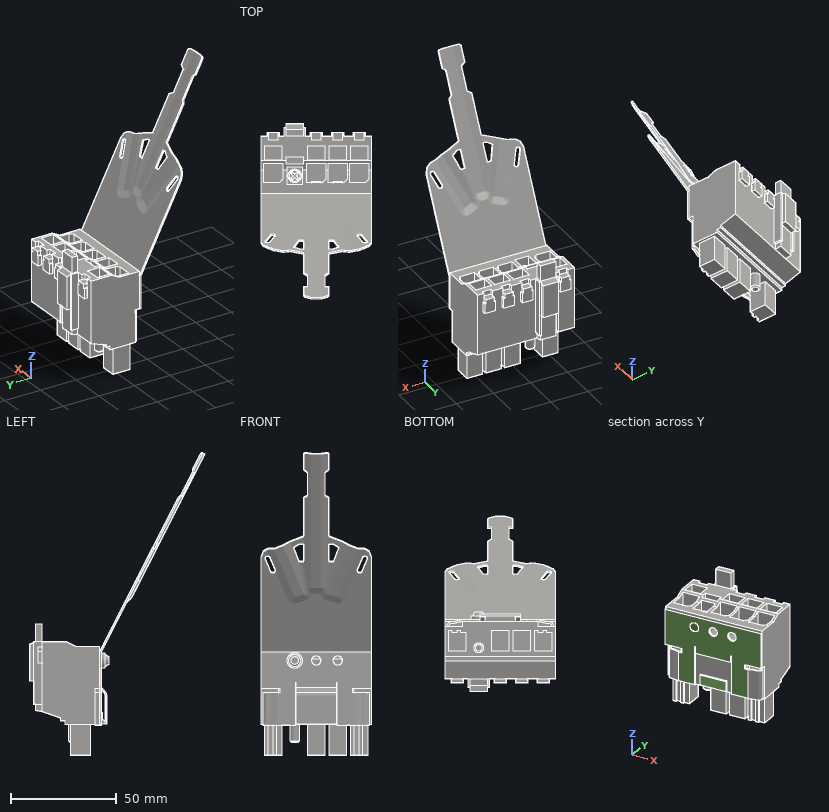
import cadquery as cq
import math


overall_height = 143.4
overall_depth = 83.0
width = 52.3
half_width = width / 2
pitch = 10.2
pole_positions = [-2 * pitch, 0, pitch, 2 * pitch]
shield_position = -pitch

housing_back = 27.2
housing_bottom = 14.5
rear_top = 53.8
front_top = 51.6
slope_back = 15.6
slope_front = 11.3
foot_depth = 16.5
foot_height = 16.3
undercut_depth = 18.6
undercut_height = 17.6
back_bottom = 20.7

release_window_width = 8.5
release_window_back = 22.7
release_window_front = 15.9
release_window_depth = 11.5
shield_release_back = 17.5
shield_release_front = 14.2
wire_window_width = 9.0
wire_window_back = 14.3
wire_window_front = 5.3
wire_window_chamfer = 1.6
wire_window_floor = 45.6
screw_window_width = 7.5
screw_window_back = 12.8
screw_window_front = 4.5

sleeve_width = 8.5
sleeve_back = 13.9
sleeve_front = 4.3
key_recess = 0.9
key_groove_start = 1.7
key_rib_start = 4.0
key_rib_end = 5.7
guide_pin_diameter = 4.6
guide_pin_y = 12.5
guide_pin_bottom = 6.2
guide_pin_chamfer = 0.7

tab_neck_width = 4.6
tab_head_width = 5.7
tab_front = 25.5
tab_back = 29.1
tab_bottom = 43.7
tab_head_top = 49.0
tab_top = 51.2

latch_width = 8.3
latch_back = 30.4
latch_top = 62.2
latch_bottom = 21.2
grip_bottom = 35.1
grip_edge_top = 52.6
guide_width = 10.2
guide_back = 31.3
guide_bottom = 24.1

sheet = 0.9
plate_bottom = 14.2
bend_height = 49.2
tilt = math.radians(27)
corner_bottom = 50.3
corner_top = 55.0
corner_x = 23.0
corner_middle = (25.1, 53.4)
shoulder_x = 19.4
shoulder_top = 55.6
wing_top = 61.4
tongue_half = 6.0
tongue_neck_half = 4.2
neck_bottom = 81.9
neck_top = 97.0
neck_slope = 1.5
tongue_corner = 0.7
bead_height = 1.1
bead_flank = 3.7
bead_corner = 4.0
side_bead_width = 12.0
side_bead_angle = 21
side_bead_foot = (-6.6, 27.0)
tongue_bead_foot = 31.0
valley = (5.3, 38.6)
valley_radius = 4.3
slot_centre = (-21.8, 46.5)
slot_length = 9.3
slot_width = 2.3
window_bottom = 48.0
window_bottom_x = 8.2
window_top = 57.4
window_top_x = 7.9
window_outer = (-10.8, 55.5)

spring_half_width = 9.9
spring_root = 31.8
spring_bend_top = 29.7
spring_bend_offset = 3.0
spring_knee = 28.3
spring_bottom = 14.8
spring_offset = 3.5
spring_drop = 0.3
slit_top = 34.5
slit_width = 0.3
wing_root = 17.9
wing_knee = 21.7
wing_curl_start = 23.0
wing_crease = (19.0, -0.7)
wing_curl_end = 25.2
wing_relief_top = 31.7
wing_relief_bottom = 29.7
wing_relief_root = 17.0
wing_pocket_depth = 2.3

catch_half_width = 7.2
catch_top = 20.4
catch_offset = 1.5
catch_knee = 17.0
catch_toe = 16.0

hole_diameter = 4.3
hole_height = 44.9
hole_depth = 5.7
shank_length = 3.6
flange_diameter = 7.3
flange_thickness = 1.7
head_base_diameter = 5.7
head_tip_diameter = 3.6
head_height = 1.9
terminal_screw_diameter = 6.3
terminal_screw_top = 48.0
terminal_screw_y = 8.5
terminal_screw_chamfer = 0.6
recess_length = 4.0
recess_width = 1.0
recess_depth = 0.9
recess_angles = (45, 135)

tip_lean = bead_height * tongue_corner / bead_flank
sheet_length = (overall_height - bend_height + tip_lean * math.sin(tilt)) / math.cos(tilt)
tongue_tip_y = -(sheet_length * math.sin(tilt) + (sheet + bead_height) * math.cos(tilt))
grip_back = tongue_tip_y + overall_depth


def block(x_range, y_range, z_range):
    """Box between two limits on each axis."""
    size = [high - low for low, high in (x_range, y_range, z_range)]
    return cq.Workplane("XY").box(*size, centered=False).translate((x_range[0], y_range[0], z_range[0]))


def centred_block(x, block_width, y_range, z_range):
    """Box that is symmetrical about the given x."""
    return block((x - block_width / 2, x + block_width / 2), y_range, z_range)


def prism_along_x(points, x_centre, length):
    """Outline of (y, z) points extruded along X, symmetrical about x_centre."""
    return cq.Workplane("YZ", origin=(x_centre - length / 2, 0, 0)).polyline(points).close().extrude(length)


def cylinder_along_y(x, z, diameter, y_range):
    """Round bar or hole between two y limits."""
    plane = cq.Plane(origin=(x, y_range[0], z), xDir=(-1, 0, 0), normal=(0, 1, 0))
    return cq.Workplane(plane).circle(diameter / 2).extrude(y_range[1] - y_range[0])


def both_sides(solid):
    """The solid together with its mirror image across the plane x = 0."""
    return solid.union(solid.mirror("YZ"))


def housing_shell():
    outline = [
        (0, housing_bottom),
        (foot_depth, housing_bottom),
        (foot_depth, foot_height),
        (undercut_depth, foot_height),
        (undercut_depth, undercut_height),
        (housing_back, back_bottom),
        (housing_back, rear_top),
        (slope_back, rear_top),
        (slope_front, front_top),
        (0, front_top),
    ]
    return prism_along_x(outline, 0, width)


def wire_window(x):
    """Square wire entry with one corner cut off."""
    window = centred_block(x, wire_window_width, (wire_window_front, wire_window_back),
                           (wire_window_floor, rear_top))
    return window.edges("|Z and >X and <Y").chamfer(wire_window_chamfer)


def top_windows():
    release_range = (rear_top - release_window_depth, rear_top)
    windows = centred_block(shield_position, release_window_width,
                            (shield_release_front, shield_release_back), release_range)
    windows = windows.union(centred_block(shield_position, screw_window_width,
                                          (screw_window_front, screw_window_back),
                                          (wire_window_floor, rear_top)))
    for x in pole_positions:
        windows = windows.union(centred_block(x, release_window_width,
                                              (release_window_front, release_window_back), release_range))
        windows = windows.union(wire_window(x))
    return windows


def tab_notches():
    notches = cq.Workplane("XY")
    for x in pole_positions:
        notches = notches.union(centred_block(x, tab_neck_width, (tab_front, housing_back),
                                              (tab_bottom, rear_top)))
    return notches


def latch_guide():
    """Two flanks that hold the latch from its sides."""
    guide = centred_block(shield_position, guide_width, (housing_back, guide_back), (guide_bottom, rear_top))
    return guide.cut(centred_block(shield_position, latch_width, (housing_back, guide_back),
                                   (guide_bottom, rear_top)))


def sleeves():
    """Plug sleeves; the two outer ones have a keyed front."""
    row = cq.Workplane("XY")
    keyed_range = (sleeve_front, sleeve_front + key_recess)
    for x in pole_positions:
        sleeve = centred_block(x, sleeve_width, (sleeve_front, sleeve_back), (0, housing_bottom))
        if x in (pole_positions[0], pole_positions[-1]):
            left = x - sleeve_width / 2
            for start, end in ((key_groove_start, key_rib_start), (key_rib_end, sleeve_width)):
                sleeve = sleeve.cut(block((left + start, left + end), keyed_range, (0, housing_bottom)))
        row = row.union(sleeve)
    return row


def guide_pin():
    pin = cq.Workplane("XY", origin=(shield_position, guide_pin_y, guide_pin_bottom))
    pin = pin.circle(guide_pin_diameter / 2).extrude(housing_bottom - guide_pin_bottom)
    return pin.faces("<Z").chamfer(guide_pin_chamfer)


def catch():
    outline = [
        (0, catch_top),
        (-catch_offset, catch_top),
        (-catch_offset, catch_knee),
        (sheet - spring_offset, catch_toe),
        (sheet - spring_offset, spring_bottom),
        (0, spring_bottom),
    ]
    return prism_along_x(outline, 0, 2 * catch_half_width)


def wing_pockets():
    return both_sides(block((-half_width, -wing_root), (0, wing_pocket_depth),
                            (housing_bottom, wing_relief_top)))


def make_housing():
    housing = housing_shell().cut(top_windows()).cut(tab_notches()).cut(wing_pockets())
    for x in (0, pitch):
        housing = housing.cut(cylinder_along_y(x, hole_height, hole_diameter, (0, hole_depth)))
    housing = housing.cut(cylinder_along_y(shield_position, hole_height, hole_diameter, (0, shank_length)))
    return housing.union(latch_guide()).union(sleeves()).union(guide_pin()).union(catch())


def sheet_workplane(offset):
    """Workplane parallel to the tilted sheet; local y runs up the sheet from the bend."""
    facing = (0, -math.cos(tilt), -math.sin(tilt))
    plane = cq.Plane(origin=(0, 0, bend_height), xDir=(1, 0, 0), normal=facing)
    return cq.Workplane(plane).workplane(offset=offset)


def tilted_outline(thickness):
    """Tilted part of the plate with its tongue, extruded from the back of the sheet."""
    right = [
        (half_width, 0),
        (half_width, corner_bottom),
        corner_middle,
        (corner_x, corner_top),
        (shoulder_x, shoulder_top),
        (tongue_half, wing_top),
        (tongue_half, neck_bottom),
        (tongue_neck_half, neck_bottom + neck_slope),
        (tongue_neck_half, neck_top - neck_slope),
        (tongue_half, neck_top),
        (tongue_half, sheet_length - tongue_corner),
        (tongue_half - tongue_corner, sheet_length),
    ]
    left = [(-x, y) for x, y in reversed(right)]
    return sheet_workplane(0).polyline(right + left).close().extrude(thickness)


def bead(offset, foot, bead_width, angle):
    """Flat-topped bead with sloping sides that runs from its foot past the edge of the sheet."""
    plane = sheet_workplane(offset).center(*foot).transformed(rotate=(0, 0, angle))
    outline = plane.sketch().push([(0, sheet_length / 2)]).rect(bead_width, sheet_length)
    outline = outline.reset().vertices().fillet(bead_corner).finalize()
    return outline.extrude(bead_height, taper=math.degrees(math.atan(bead_flank / bead_height)))


def beads(offset):
    side = bead(offset, side_bead_foot, side_bead_width, side_bead_angle)
    tongue = bead(offset, (0, tongue_bead_foot), 2 * tongue_half, 0)
    joined = both_sides(side).union(tongue)
    plane = sheet_workplane(offset).plane
    for direction in (-1, 1):
        crease = plane.toWorldCoords((direction * valley[0], valley[1], 0))
        joined = joined.edges(cq.selectors.NearestToPointSelector(crease)).fillet(valley_radius)
    return joined


def sheet_openings():
    """Oblong slot and five-sided window on each side of the tongue."""
    depth = sheet + bead_height
    slot = sheet_workplane(0).center(*slot_centre).transformed(rotate=(0, 0, 90 + side_bead_angle))
    slot = slot.slot2D(slot_length, slot_width).extrude(depth)
    window_corners = [
        window_outer,
        (-window_top_x, window_top),
        (-tongue_half, window_top),
        (-tongue_half, window_bottom),
        (-window_bottom_x, window_bottom),
    ]
    window = sheet_workplane(0).polyline(window_corners).close().extrude(depth)
    return both_sides(slot.union(window))


def tilted_sheet():
    formed = tilted_outline(sheet).union(beads(sheet)).cut(beads(0))
    return formed.intersect(tilted_outline(sheet + bead_height)).cut(sheet_openings())


def upright_sheet():
    plate = centred_block(0, width, (-sheet, 0), (plate_bottom, bend_height))
    plate = plate.cut(centred_block(0, 2 * spring_half_width, (-sheet, 0), (plate_bottom, spring_root)))
    slit_x = spring_half_width - slit_width
    slit = block((slit_x, spring_half_width), (-sheet, 0), (spring_root, slit_top))
    relief = block((wing_relief_root, half_width), (-sheet, 0), (wing_relief_bottom, wing_relief_top))
    below_relief = block((wing_root, half_width), (-sheet, 0), (plate_bottom, wing_relief_bottom))
    plate = plate.cut(both_sides(slit.union(relief).union(below_relief)))
    for x in (shield_position, 0, pitch):
        plate = plate.cut(cylinder_along_y(x, hole_height, hole_diameter, (-sheet, 0)))
    return plate


def contact_spring():
    """Tongue bent forward out of the upright sheet."""
    outline = [
        (0, slit_top),
        (0, spring_root),
        (sheet - spring_bend_offset, spring_bend_top - spring_drop),
        (sheet - spring_offset, spring_knee - spring_drop),
        (sheet - spring_offset, spring_bottom),
        (-spring_offset, spring_bottom),
        (-spring_offset, spring_knee),
        (-spring_bend_offset, spring_bend_top),
        (-sheet, spring_root + spring_drop),
        (-sheet, slit_top),
    ]
    return prism_along_x(outline, 0, 2 * (spring_half_width - slit_width))


def bent_wings():
    """Lower corners of the plate, set back into the pockets of the housing and curled at the edge."""
    centre = (wing_curl_start, wing_curl_end - wing_curl_start)
    outer_radius = centre[1]
    inner_radius = outer_radius - sheet
    diagonal = math.sqrt(0.5)
    wing = (
        cq.Workplane("XY", origin=(0, 0, plate_bottom))
        .moveTo(wing_root, -sheet)
        .lineTo(*wing_crease)
        .lineTo(wing_knee, 0)
        .lineTo(wing_curl_start, 0)
        .threePointArc((centre[0] + outer_radius * diagonal, centre[1] - outer_radius * diagonal),
                       (wing_curl_end, centre[1]))
        .lineTo(wing_curl_end - sheet, centre[1])
        .threePointArc((centre[0] + inner_radius * diagonal, centre[1] - inner_radius * diagonal),
                       (wing_curl_start, sheet))
        .lineTo(wing_knee, sheet)
        .lineTo(wing_root, 0)
        .close()
    )
    return both_sides(wing.extrude(wing_relief_bottom - plate_bottom))


def make_shield_plate():
    return upright_sheet().union(tilted_sheet()).union(contact_spring()).union(bent_wings())


def make_shield_screw():
    """Flanged screw that clamps the shield plate to the housing."""
    flange_front = -sheet - flange_thickness
    tip = flange_front - head_height
    half_section = [
        (0, shank_length),
        (hole_diameter / 2, shank_length),
        (hole_diameter / 2, -sheet),
        (flange_diameter / 2, -sheet),
        (flange_diameter / 2, flange_front),
        (head_base_diameter / 2, flange_front),
        (head_tip_diameter / 2, tip),
        (0, tip),
    ]
    screw = cq.Workplane("XY").polyline(half_section).close().revolve(360, (0, 0, 0), (0, 1, 0))
    return screw.translate((shield_position, 0, hole_height))


def make_terminal_screw():
    """Cross-head screw on the floor of its window."""
    screw = cq.Workplane("XY", origin=(shield_position, terminal_screw_y, wire_window_floor))
    screw = screw.circle(terminal_screw_diameter / 2).extrude(terminal_screw_top - wire_window_floor)
    screw = screw.faces(">Z").chamfer(terminal_screw_chamfer)
    for angle in recess_angles:
        recess = cq.Workplane("XY").box(recess_length, recess_width, 2 * recess_depth)
        recess = recess.rotate((0, 0, 0), (0, 0, 1), angle)
        screw = screw.cut(recess.translate((shield_position, terminal_screw_y, terminal_screw_top)))
    return screw


def make_latch():
    outline = [
        (housing_back, back_bottom),
        (latch_back, latch_bottom),
        (latch_back, grip_bottom),
        (grip_back, grip_bottom),
        (grip_back, grip_edge_top),
        (latch_back, rear_top),
        (latch_back, latch_top),
        (housing_back, latch_top),
    ]
    return prism_along_x(outline, shield_position, latch_width)


def make_release_tab(x):
    """Narrow neck in the notch of the housing, with a wider head behind it."""
    neck = centred_block(x, tab_neck_width, (tab_front, tab_back), (tab_bottom, tab_top))
    head = centred_block(x, tab_head_width, (housing_back, tab_back), (tab_bottom, tab_head_top))
    return neck.union(head)


housing = make_housing()
shield_plate = make_shield_plate()
shield_screw = make_shield_screw()
terminal_screw = make_terminal_screw()
latch = make_latch()
release_tabs = [make_release_tab(x) for x in pole_positions]

result = cq.Compound.makeCompound([
    housing.val(),
    shield_plate.val(),
    shield_screw.val(),
    terminal_screw.val(),
    latch.val(),
    *[tab.val() for tab in release_tabs],
])